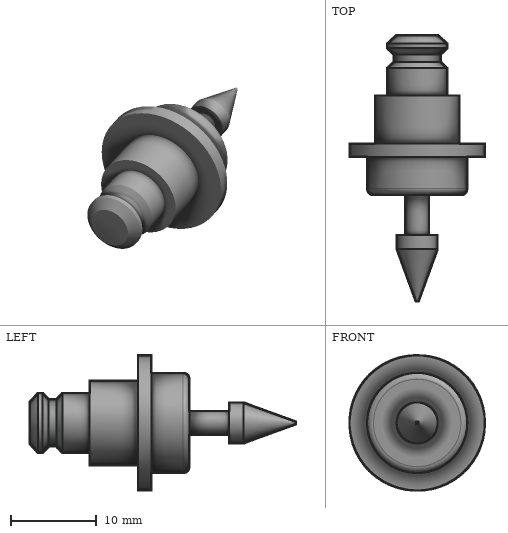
import cadquery as cq

total_length = 31.05

tip_flat_radius = 0.15
tip_radius = 2.4
tip_cone_length = 6.12
tip_land_length = 1.68

stem_radius = 1.4
stem_length = 4.63

body_radius = 5.85
body_length = 4.45
body_fillet = 0.75

flange_radius = 7.902
flange_length = 1.55

shoulder_radius = 4.95
shoulder_length = 5.62

neck_radius = 3.5
neck_length = 3.17
groove_radius = 2.75
groove_chamfer = 0.7
groove_floor_length = 0.9
knob_land_length = 0.53
knob_end_radius = 2.42

tip_land_start = tip_cone_length
stem_start = tip_land_start + tip_land_length
body_start = stem_start + stem_length
flange_start = body_start + body_length
shoulder_start = flange_start + flange_length
neck_start = shoulder_start + shoulder_length
groove_start = neck_start + neck_length
groove_floor_start = groove_start + groove_chamfer
groove_floor_end = groove_floor_start + groove_floor_length
knob_land_start = groove_floor_end + groove_chamfer
knob_land_end = knob_land_start + knob_land_length

half_section = [
    (0, 0),
    (tip_flat_radius, 0),
    (tip_radius, tip_land_start),
    (tip_radius, stem_start),
    (stem_radius, stem_start),
    (stem_radius, body_start),
    (body_radius, body_start),
    (body_radius, flange_start),
    (flange_radius, flange_start),
    (flange_radius, shoulder_start),
    (shoulder_radius, shoulder_start),
    (shoulder_radius, neck_start),
    (neck_radius, neck_start),
    (neck_radius, groove_start),
    (groove_radius, groove_floor_start),
    (groove_radius, groove_floor_end),
    (neck_radius, knob_land_start),
    (neck_radius, knob_land_end),
    (knob_end_radius, total_length),
    (0, total_length),
]
turned = cq.Workplane("XY").polyline(half_section).close().revolve(360, (0, 0, 0), (0, 1, 0))

selection_margin = 0.03
body_edge_box = cq.selectors.BoxSelector(
    (-body_radius - selection_margin, body_start - selection_margin, -body_radius - selection_margin),
    (body_radius + selection_margin, body_start + selection_margin, body_radius + selection_margin),
    boundingbox=True,
)
body_front_edge = turned.edges(body_edge_box).edges(cq.selectors.RadiusNthSelector(-1))
result = body_front_edge.fillet(body_fillet)